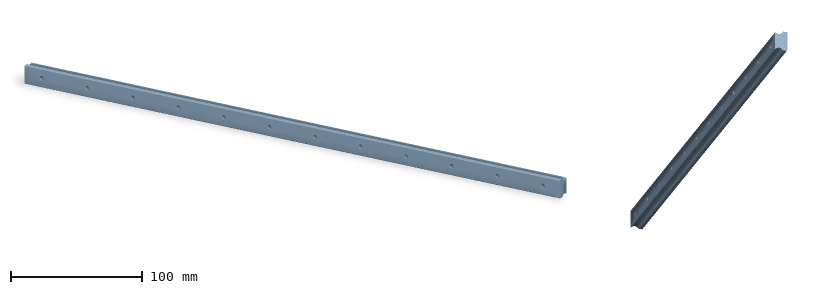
import cadquery as cq
import math

rail_length = 470.0
rail_height = 9.5
rail_width = 15.0
base_chamfer = 0.5

groove_start = 3.2
groove_bottom_height = 6.55
groove_bottom_half_width = 5.45
groove_radius = 3.4
lower_arc_height = 4.75
upper_arc_height = 8.45
lip_angle = 30.5

hole_count = 12
hole_pitch = 40.0
hole_diameter = 3.5

half_width = rail_width / 2
hole_margin = (rail_length - (hole_count - 1) * hole_pitch) / 2


def groove_arc_half_width(height):
    """Distance from the middle plane to the round groove bottom at a given height."""
    offset = height - groove_bottom_height
    arc_centre = groove_bottom_half_width + groove_radius
    return arc_centre - math.sqrt(groove_radius**2 - offset**2)


def arc_point(height):
    return (height, groove_arc_half_width(height))


def mirrored(point):
    height, offset = point
    return (height, -offset)


def rail_profile():
    """Cross-section as (Y, Z): one side up to the head, then the mirrored side back down."""
    base_edge = (0, half_width - base_chamfer)
    base_side = (base_chamfer, half_width)
    groove_edge = (groove_start, half_width)
    lower_arc_end = arc_point(lower_arc_height)
    lower_arc_middle = arc_point((lower_arc_height + groove_bottom_height) / 2)
    groove_bottom = (groove_bottom_height, groove_bottom_half_width)
    upper_arc_middle = arc_point((groove_bottom_height + upper_arc_height) / 2)
    upper_arc_end = arc_point(upper_arc_height)
    lip_rise = (rail_height - upper_arc_height) * math.tan(math.radians(lip_angle))
    head_edge = (rail_height, upper_arc_end[1] + lip_rise)

    return (
        cq.Workplane("YZ")
        .moveTo(*base_edge)
        .lineTo(*base_side)
        .lineTo(*groove_edge)
        .lineTo(*lower_arc_end)
        .threePointArc(lower_arc_middle, groove_bottom)
        .threePointArc(upper_arc_middle, upper_arc_end)
        .lineTo(*head_edge)
        .lineTo(*mirrored(head_edge))
        .lineTo(*mirrored(upper_arc_end))
        .threePointArc(mirrored(upper_arc_middle), mirrored(groove_bottom))
        .threePointArc(mirrored(lower_arc_middle), mirrored(lower_arc_end))
        .lineTo(*mirrored(groove_edge))
        .lineTo(*mirrored(base_side))
        .lineTo(*mirrored(base_edge))
        .close()
    )


def mounting_holes():
    centres = [(hole_margin + i * hole_pitch, 0) for i in range(hole_count)]
    return (
        cq.Workplane("XZ")
        .pushPoints(centres)
        .circle(hole_diameter / 2)
        .extrude(-rail_height)
    )


rail = rail_profile().extrude(rail_length)
result = rail.cut(mounting_holes())